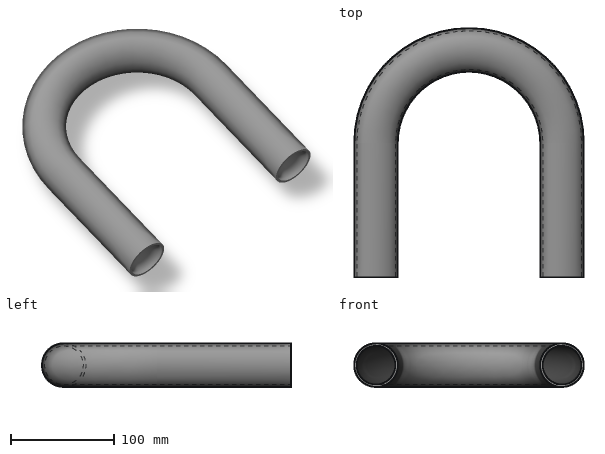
import cadquery as cq

outer_diameter = 42.4
inner_diameter = 37.4
bend_radius = 90.0
leg_length = 130.0


def swept_rod(diameter):
    """Solid round rod following the U-shaped centreline."""
    centreline = (
        cq.Workplane("XY")
        .moveTo(-bend_radius, -leg_length)
        .lineTo(-bend_radius, 0)
        .threePointArc((0, bend_radius), (bend_radius, 0))
        .lineTo(bend_radius, -leg_length)
    )
    leg_end = cq.Plane(
        origin=(-bend_radius, -leg_length, 0),
        xDir=(1, 0, 0),
        normal=(0, 1, 0),
    )
    return cq.Workplane(leg_end).circle(diameter / 2).sweep(centreline)


result = swept_rod(outer_diameter).cut(swept_rod(inner_diameter))